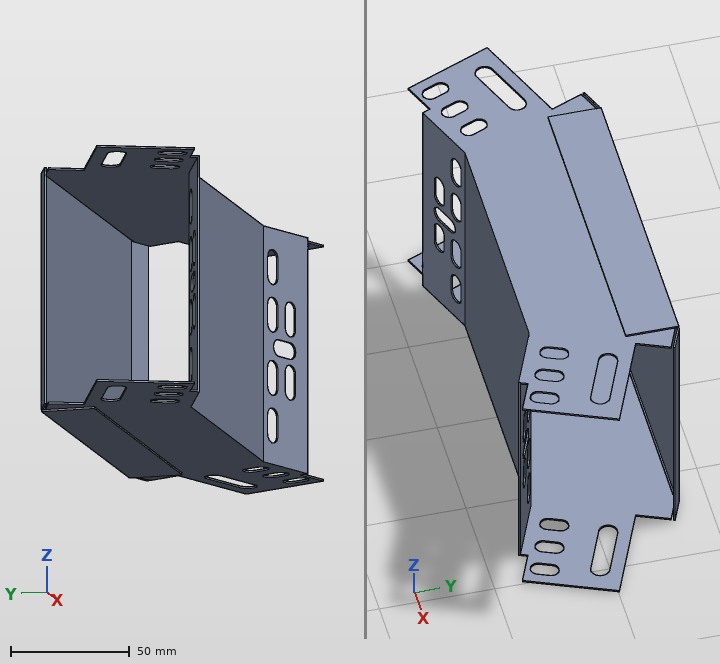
import cadquery as cq
import math

sheet = 0.8
inner_height = 100.0
tray_height = inner_height + 2 * sheet
cover_height = tray_height + 2 * sheet
depth = 62.0
tray_gap = 1.0
tray_depth = depth - sheet - tray_gap
bend_angle = 22.5
front_half_length = 56.0

wall_end = 30.0
flange_end = 45.4
flange_front = 4.0
flange_back = 45.2
back_end = -0.7

lip_half_length = 67.7
lip_depth = 23.0

flange_slot_width = 6.7
flange_slot_length = 12.2
flange_slot_first = 10.1
flange_slot_pitch = 13.5
flange_slot_count = 3
flange_slot_v = 12.2
long_slot_width = 8.0
long_slot_length = 30.6
long_slot_centre = (22.3, 35.2)

wall_slot_width = 7.0
wall_slot_length = 15.0
wall_slot_inner_u = 6.2
wall_slot_outer_u = 18.2
wall_slot_near_z = 13.5
wall_slot_far_z = 34.0
cross_slot_width = 7.1
cross_slot_length = 15.0
cross_slot_u = 14.3

bend = math.radians(bend_angle)
SIDES = (-1, 1)


def end_point(side, u, v):
    """Point of an end section on the given side, from its own (u, v) to (x, y)."""
    out = front_half_length + u * math.cos(bend) + v * math.sin(bend)
    return (side * out, v * math.cos(bend) - u * math.sin(bend))


def bend_point(side, v):
    """Point on the bend line at distance v inward from the outside of the tray wall."""
    return (side * (front_half_length + v * math.tan(bend / 2)), v)


def prism(points, height, bottom):
    return cq.Workplane("XY", origin=(0, 0, bottom)).polyline(points).close().extrude(height)


def bent_strip(outer_v, inner_v, end_u, height):
    """Upright strip that follows both bends, between two distances from the tray wall."""
    points = [
        end_point(-1, end_u, outer_v),
        bend_point(-1, outer_v),
        bend_point(1, outer_v),
        end_point(1, end_u, outer_v),
        end_point(1, end_u, inner_v),
        bend_point(1, inner_v),
        bend_point(-1, inner_v),
        end_point(-1, end_u, inner_v),
    ]
    return prism(points, height, -height / 2)


def tray_plate(bottom):
    """Flat plate with a joining flange at each end."""
    half = [
        (0, 0),
        (wall_end, 0),
        (wall_end, flange_front),
        (flange_end, flange_front),
        (flange_end, flange_back),
        (back_end, flange_back),
        (back_end, tray_depth),
    ]
    right = [end_point(1, u, v) for u, v in half] + [bend_point(1, tray_depth)]
    left = [(-x, y) for x, y in reversed(right)]
    return prism(right + left, sheet, bottom)


def flange_slots(side):
    """Slots through both flanges at one end."""
    x, y = end_point(side, 0, 0)
    plane = cq.Plane(origin=(x, y, -tray_height), normal=(0, 0, 1),
                     xDir=(side * math.cos(bend), -math.sin(bend), 0))
    row = [(flange_slot_first + i * flange_slot_pitch, side * flange_slot_v)
           for i in range(flange_slot_count)]
    long_u, long_v = long_slot_centre
    short_slots = (cq.Workplane(plane).pushPoints(row)
                   .slot2D(flange_slot_length, flange_slot_width, 90).extrude(2 * tray_height))
    long_slot = (cq.Workplane(plane).center(long_u, side * long_v)
                 .slot2D(long_slot_length, long_slot_width).extrude(2 * tray_height))
    return short_slots.union(long_slot)


def wall_slots(side):
    """Slots through the tray wall at one end."""
    x, y = end_point(side, 0, 0)
    along = (side * math.cos(bend), -math.sin(bend), 0)
    outward = (-side * math.sin(bend), -math.cos(bend), 0)
    plane = cq.Plane(origin=(x, y, 0), normal=outward, xDir=along)
    centres = [(wall_slot_inner_u, sign * wall_slot_far_z) for sign in SIDES]
    centres += [(u, sign * wall_slot_near_z)
                for u in (wall_slot_inner_u, wall_slot_outer_u) for sign in SIDES]
    upright = (cq.Workplane(plane).pushPoints(centres)
               .slot2D(wall_slot_length, wall_slot_width, 90).extrude(sheet, both=True))
    cross = (cq.Workplane(plane).center(cross_slot_u, 0)
             .slot2D(cross_slot_length, cross_slot_width).extrude(sheet, both=True))
    return upright.union(cross)


def make_tray():
    """Slotted wall with a plate along its top and bottom edges."""
    tray = bent_strip(0, sheet, wall_end, tray_height)
    for bottom in (-tray_height / 2, inner_height / 2):
        tray = tray.union(tray_plate(bottom))
    for side in SIDES:
        tray = tray.cut(flange_slots(side)).cut(wall_slots(side))
    return tray


def make_cover():
    """Back wall with bent wings and a lip over each tray plate."""
    cover = bent_strip(depth, depth - sheet, back_end, tray_height)
    for bottom in (-cover_height / 2, tray_height / 2):
        lip = (cq.Workplane("XY", origin=(0, depth - lip_depth / 2, bottom))
               .rect(2 * lip_half_length, lip_depth).extrude(sheet))
        cover = cover.union(lip)
    return cover


tray = make_tray()
cover = make_cover()
result = cq.Compound.makeCompound([tray.val(), cover.val()])